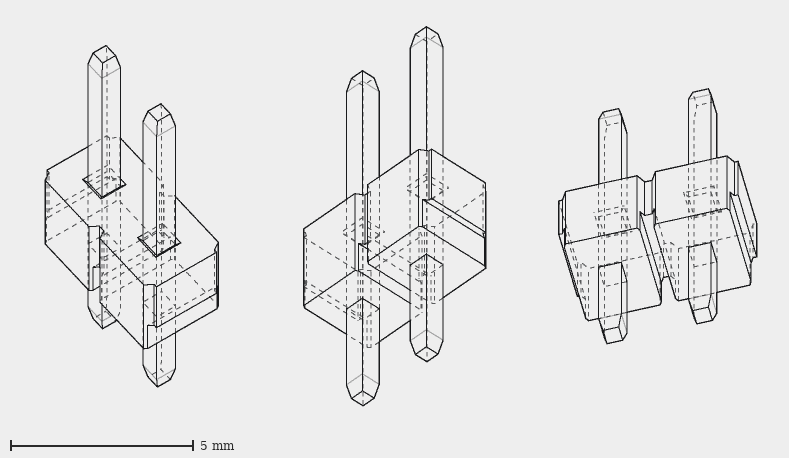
import cadquery as cq

pin_length = 11.66
pitch = 2.54
pin_count = 2
row_length = pin_count * pitch

pin_width = 0.64
tip_width = 0.44
tip_height = 0.5

housing_depth = 2.54
housing_bottom = 3.25
housing_height = 2.8
housing_top = housing_bottom + housing_height
notch_depth = 0.25
notch_floor_half = 0.1
notch_mouth_half = 0.26

slot_height = 1.0
slot_half = 0.2

mouth_width = 0.85
mouth_depth = 0.1

pin_positions = [(i - (pin_count - 1) / 2) * pitch for i in range(pin_count)]
boundary_positions = [(i - pin_count / 2) * pitch for i in range(pin_count + 1)]


def square_taper(x, start_z, start_width, end_z, end_width):
    """Square frustum along Z, centred on x."""
    return (
        cq.Workplane("XY", origin=(x, 0, start_z))
        .rect(start_width, start_width)
        .workplane(offset=end_z - start_z)
        .rect(end_width, end_width)
        .loft(combine=True)
    )


def make_pin(x):
    """Square pin with a tapered tip at each end."""
    shaft_top = pin_length - tip_height
    shaft = (
        cq.Workplane("XY", origin=(x, 0, tip_height))
        .rect(pin_width, pin_width)
        .extrude(shaft_top - tip_height)
    )
    lower_tip = square_taper(x, 0, tip_width, tip_height, pin_width)
    upper_tip = square_taper(x, shaft_top, pin_width, pin_length, tip_width)
    return shaft.union(lower_tip).union(upper_tip)


def make_notch(x, side):
    """Trapezoidal groove through the full height; side is -1 (front) or +1 (back)."""
    face_y = side * housing_depth / 2
    floor_y = face_y - side * notch_depth
    return (
        cq.Workplane("XY", origin=(x, 0, housing_bottom))
        .polyline([
            (-notch_mouth_half, face_y),
            (-notch_floor_half, floor_y),
            (notch_floor_half, floor_y),
            (notch_mouth_half, face_y),
        ])
        .close()
        .extrude(housing_height)
    )


def make_slot(x):
    """Slot across the underside of the housing."""
    return (
        cq.Workplane("XY", origin=(x, 0, housing_bottom))
        .rect(2 * slot_half, housing_depth)
        .extrude(slot_height)
    )


def make_housing():
    housing = (
        cq.Workplane("XY", origin=(0, 0, housing_bottom))
        .rect(row_length, housing_depth)
        .extrude(housing_height)
    )
    for x in boundary_positions:
        for side in (-1, 1):
            housing = housing.cut(make_notch(x, side))
        housing = housing.cut(make_slot(x))
    for x in pin_positions:
        housing = housing.cut(make_pin(x))
        mouth = square_taper(x, housing_top - mouth_depth, pin_width, housing_top, mouth_width)
        housing = housing.cut(mouth)
    return housing


housing = make_housing()
pins = [make_pin(x) for x in pin_positions]

result = cq.Compound.makeCompound([housing.solids().val(), *[pin.solids().val() for pin in pins]])